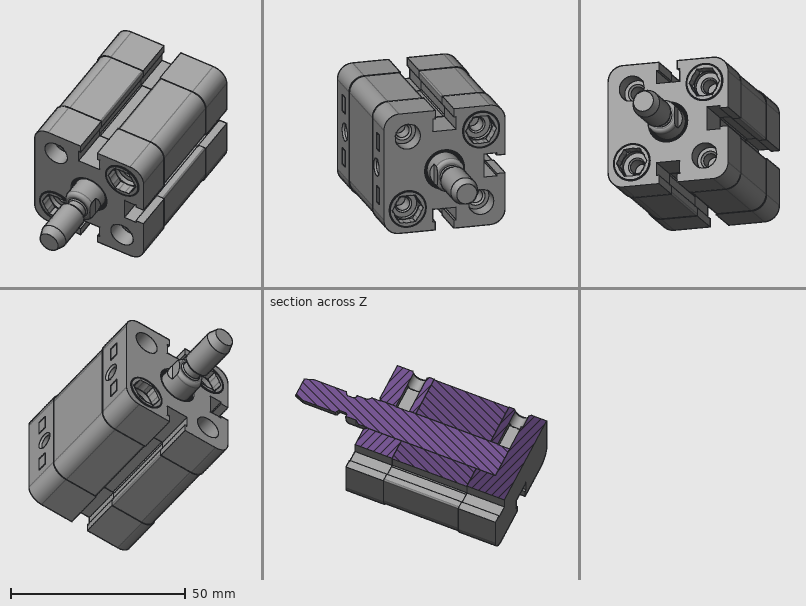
import cadquery as cq
import math


overall_length = 69.6

cap_size = 36.3
cap_length = 11.75
barrel_length = 23.5
barrel_inset = 0.2
corner_radius = 4.5
barrel_size = cap_size - 2 * barrel_inset
rear_cap_start = cap_length + barrel_length
housing_length = rear_cap_start + cap_length

slot_width = 6.95
slot_lip = 2.5
slot_depth = 6.3
slot_floor = cap_size / 2 - slot_depth
slot_mouth = 5.6
barrel_mouth_round = 0.4
barrel_floor_step = 0.15
barrel_slot_floor = slot_floor + barrel_floor_step
slot_corner_chamfer = 0.35

hole_offset = 11.0
thread_diameter = 4.1
thread_depth = 9.75
thread_mouth = 5.3
fixing_bore = 7.5
fixing_bore_depth = 5.0
head_diameter = 11.1
head_top_diameter = 10.5
hex_flats = 8.0
hex_depth = 3.1
relief_diameter = 8.3
socket_diameter = 8.0
socket_depth = 4.65
socket_thread_mouth = 5.0

port_offset = 7.5
port_depth = 4.9
port_slot_height = 3.2
port_slot_inset = 1.6
rear_port_y = housing_length - port_offset

label_offset = 6.25
label_height = 8.1
label_length = 4.9
label_width = 2.9
label_depth = 0.15

rod_diameter = 10.0
rod_inner_end = rear_port_y + port_slot_inset
rod_reach = overall_length - housing_length
shoulder_length = 6.4
shoulder_round = 1.25
rod_flats = 8.0
flats_start = 3.05
neck_diameter = 5.8
neck_root_diameter = 6.55
neck_root_length = 0.4
neck_end = 8.85
undercut_diameter = 6.55
undercut_end = 9.25
rod_thread_start = 9.6
rod_thread_diameter = 8.0
tip_diameter = 6.05
tip_length = 2.7

seat_diameter = 12.0
seat_floor_diameter = 11.4
seat_depth = 0.3
wiper_outer_diameter = 10.9
wiper_diameter = 10.5
wiper_depth = 0.7


def xz_plane(y):
    """Workplane across the cylinder axis; a negative extrusion runs towards +Y."""
    return cq.Workplane("XZ", origin=(0, y, 0))


def revolved(profile):
    """Turn (radius, y) points about the cylinder axis."""
    return cq.Workplane("XY").polyline(profile).close().revolve(360, (0, 0, 0), (0, 1, 0))


def slot_cutter(size, floor, start, length):
    """T-shaped slot open to the +Z side of a square section."""
    lip_start = cap_size / 2 - slot_lip
    deep = xz_plane(start).center(0, (floor + lip_start) / 2).rect(slot_width, lip_start - floor)
    slot = deep.extrude(-length)
    opening_height = size / 2 - floor
    opening = xz_plane(start).center(0, floor + opening_height / 2).rect(slot_mouth, opening_height)
    return slot.union(opening.extrude(-length))


def cut_on_slot_sides(body, cutter):
    """Cut a +Z side feature into the +Z, +X and -Z sides."""
    for turn in (0, 90, 180):
        body = body.cut(cutter.rotate((0, 0, 0), (0, 1, 0), turn))
    return body


def block(size, start, length):
    """Square length of housing with rounded long edges."""
    return xz_plane(start).rect(size, size).extrude(-length).edges("|Y").fillet(corner_radius)


def threaded_hole(mouth, depth):
    """Blind hole along +Y from the origin with a 45 degree countersink."""
    radius = thread_diameter / 2
    mouth_radius = mouth / 2
    return revolved([(0, 0), (mouth_radius, 0), (radius, mouth_radius - radius), (radius, depth), (0, depth)])


def fixing_hole():
    """Counterbored threaded hole at the origin."""
    bore = xz_plane(0).circle(fixing_bore / 2).extrude(-fixing_bore_depth)
    thread = threaded_hole(thread_mouth, thread_depth - fixing_bore_depth)
    return bore.union(thread.translate((0, fixing_bore_depth, 0)))


def screw_socket():
    """Hexagon socket around a round bore with a threaded bottom, ringed by the bevel of the screw head."""
    head_radius = head_diameter / 2
    top_radius = head_top_diameter / 2
    bevel = revolved([(top_radius, 0), (head_radius, 0), (head_radius, head_radius - top_radius)])
    hex_corners = hex_flats / math.cos(math.pi / 6)
    hexagon = xz_plane(0).polygon(6, hex_corners).extrude(-hex_depth)
    relief = xz_plane(0).circle(relief_diameter / 2).extrude(-hex_depth)
    bore = xz_plane(hex_depth).circle(socket_diameter / 2).extrude(hex_depth - socket_depth)
    socket = hexagon.union(relief).union(bore)
    thread = threaded_hole(socket_thread_mouth, thread_depth - socket_depth)
    return socket.union(thread.translate((0, socket_depth, 0))).union(bevel)


def air_port(y, slot_start, slot_end):
    """Threaded port on the -X side, with a slot from its bottom to the rod."""
    side = -cap_size / 2
    port = threaded_hole(thread_mouth, port_depth).rotate((0, 0, 0), (0, 0, 1), -90)
    passage_length = cap_size / 2 - port_depth
    passage = cq.Workplane("XY").box(passage_length, slot_end - slot_start, port_slot_height)
    passage = passage.translate((-passage_length / 2, (slot_start + slot_end) / 2, 0))
    return port.translate((side, y, 0)).union(passage)


def label_panels(y):
    """Two shallow rectangular recesses above and below a port."""
    side = cq.Workplane("YZ", origin=(-cap_size / 2, y, 0))
    panels = side.pushPoints([(0, label_height), (0, -label_height)]).rect(label_width, label_length)
    return panels.extrude(label_depth)


def cap(start):
    """Slotted end block, before the features that differ between front and rear."""
    slot = slot_cutter(cap_size, slot_floor, start, cap_length)
    return cut_on_slot_sides(block(cap_size, start, cap_length), slot)


def rod_hole(start, length):
    return xz_plane(start).circle(rod_diameter / 2).extrude(-length)


def wiper_seat():
    """Bevelled recess with a narrow gap around the rod."""
    gap_depth = seat_depth + (wiper_outer_diameter - wiper_diameter) / 2
    return revolved([
        (0, 0),
        (seat_diameter / 2, 0),
        (seat_floor_diameter / 2, seat_depth),
        (wiper_outer_diameter / 2, seat_depth),
        (wiper_diameter / 2, gap_depth),
        (wiper_diameter / 2, wiper_depth),
        (0, wiper_depth),
    ])


def make_front_cap():
    body = cap(0).cut(rod_hole(0, cap_length)).cut(wiper_seat())
    for side in (1, -1):
        body = body.cut(screw_socket().translate((side * hole_offset, 0, side * hole_offset)))
        body = body.cut(fixing_hole().translate((-side * hole_offset, 0, side * hole_offset)))
    half_port = thread_diameter / 2
    body = body.cut(air_port(port_offset, port_offset - half_port, port_offset + half_port))
    return body.cut(label_panels(label_offset))


def mouth_rounding():
    """Flared strip that rounds both mouth edges of the +Z barrel slot."""
    top = barrel_size / 2
    narrow = slot_mouth / 2
    wide = narrow + barrel_mouth_round
    reach = barrel_mouth_round * (1 - math.sqrt(0.5))
    strip = (
        xz_plane(cap_length)
        .moveTo(-narrow, top - barrel_mouth_round)
        .lineTo(narrow, top - barrel_mouth_round)
        .threePointArc((narrow + reach, top - reach), (wide, top))
        .lineTo(-wide, top)
        .threePointArc((-narrow - reach, top - reach), (-narrow, top - barrel_mouth_round))
        .close()
    )
    return strip.extrude(-barrel_length)


def make_barrel():
    """Square tube whose slots have bevelled floor corners and rounded mouths."""
    slot = slot_cutter(barrel_size, barrel_slot_floor, cap_length, barrel_length)
    slot = slot.faces("<Z").edges("|Y").chamfer(slot_corner_chamfer)
    body = cut_on_slot_sides(block(barrel_size, cap_length, barrel_length), slot)
    body = cut_on_slot_sides(body, mouth_rounding())
    return body.cut(rod_hole(cap_length, barrel_length))


def make_rear_cap():
    body = cap(rear_cap_start).cut(rod_hole(rear_cap_start, rod_inner_end - rear_cap_start))
    body = body.cut(air_port(rear_port_y, rear_port_y - thread_diameter / 2, rod_inner_end))
    return body.cut(label_panels(housing_length - label_offset))


def make_rod():
    """Turned rod with a rounded shoulder, wrench flats, undercut neck and bevelled threaded end."""
    radius = rod_diameter / 2
    neck_radius = neck_diameter / 2
    thread_radius = rod_thread_diameter / 2
    round_middle = shoulder_round * math.sqrt(0.5)
    profile = (
        cq.Workplane("XY")
        .moveTo(0, rod_inner_end)
        .lineTo(radius, rod_inner_end)
        .lineTo(radius, shoulder_round - shoulder_length)
        .threePointArc(
            (radius - shoulder_round + round_middle, shoulder_round - shoulder_length - round_middle),
            (radius - shoulder_round, -shoulder_length),
        )
        .lineTo(neck_root_diameter / 2, -shoulder_length)
        .lineTo(neck_radius, -shoulder_length - neck_root_length)
        .lineTo(neck_radius, -neck_end)
        .lineTo(undercut_diameter / 2, -undercut_end)
        .lineTo(thread_radius, -rod_thread_start)
        .lineTo(thread_radius, tip_length - rod_reach)
        .lineTo(tip_diameter / 2, -rod_reach)
        .lineTo(0, -rod_reach)
        .close()
    )
    rod = profile.revolve(360, (0, 0, 0), (0, 1, 0))
    half_flats = rod_flats / 2
    relief = radius - half_flats
    for side in (1, -1):
        flat = (
            cq.Workplane("XY")
            .moveTo(side * half_flats, -shoulder_length)
            .lineTo(side * half_flats, -flats_start)
            .lineTo(side * radius, relief - flats_start)
            .lineTo(side * radius, -shoulder_length)
            .close()
            .extrude(radius, both=True)
        )
        rod = rod.cut(flat)
    return rod


front_cap = make_front_cap()
barrel = make_barrel()
rear_cap = make_rear_cap()
rod = make_rod()

result = cq.Compound.makeCompound([front_cap.val(), barrel.val(), rear_cap.val(), rod.val()])